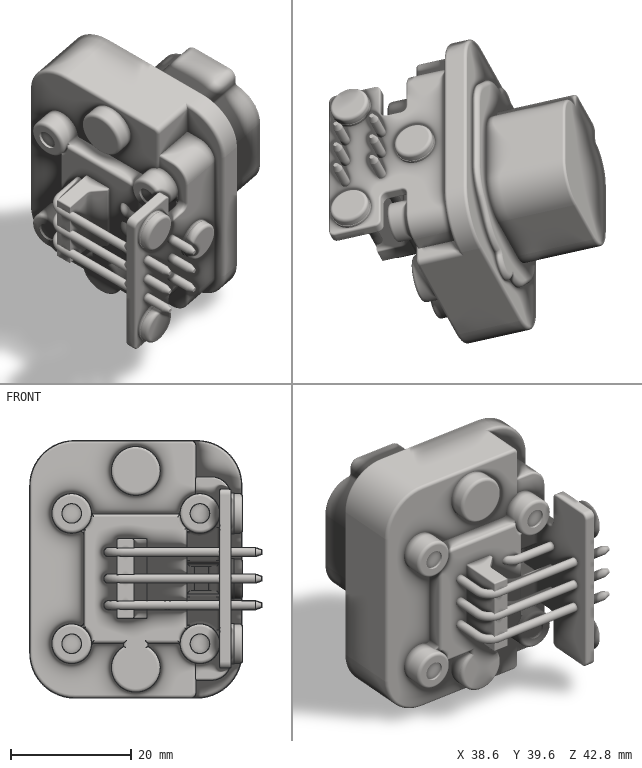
import cadquery as cq
import math

TOTAL_LENGTH = 38.55

FLANGE_WIDTH = 35.25
FLANGE_HEIGHT = 42.8
FLANGE_DEPTH = 11.6
FLANGE_CORNER = 7.55
EDGE_ROUND = 0.5

STEP_X = 9.97
STEP_DEPTH = 7.65
STEP_CORNER_ROUND = 0.85

ROW_Z = -1.55

BLOCK_RIGHT = 15.85
BLOCK_FRONT = 0.35
BLOCK_HALF_HEIGHT = 16.9
BLOCK_CORNER = 3.3
BLOCK_ROUND = 0.35
CHANNEL_HALF_HEIGHT = 2.53
CHANNEL_DEPTH = 3.42
CHANNEL_ROUND = 0.5
GROOVE_LEFT = 9.7
GROOVE_RIGHT = 12.05
GROOVE_ROUND = 0.43
GROOVE_DEPTH = 0.85

PLINTH_LEFT = -8.65
PLINTH_RIGHT = 8.47
PLINTH_TOP = 9.15
PLINTH_BOTTOM = -12.3
PLINTH_HEIGHT = 2.95
PAD_RADIUS = 4.05
PAD_Z = 16.35
NECK_HALF_WIDTH = 2.0
BOSS_RADIUS = 3.3
LEFT_BOSS_HEIGHT = 3.95
RIGHT_BOSS_HEIGHT = 3.72
BOSS_X = 10.65
BOSS_HALF_PITCH_Z = 10.83
BOSS_HOLE_RADIUS = 1.63
BOSS_HOLE_DEPTH = 0.43
BASE_FILLET = 0.45
WEB_FILLET = 0.5

PLATE_LEFT = 13.9
PLATE_FRONT = -13.25
PLATE_BACK = -4.2
PLATE_HALF_HEIGHT = 14.9
PLATE_CORNER = 1.03
PLATE_NECK_HALF_HEIGHT = 8.25
PLATE_ROUND = 0.3

FOOT_RADIUS = 3.3
FOOT_HEIGHT = 1.93
FOOT_COLLAR_RADIUS = 3.4
FOOT_COLLAR_HEIGHT = 0.45
FOOT_FRONT_Y = -9.1
FOOT_BACK_Y = 2.2

PIN_RADIUS = 0.75
PIN_PITCH = 4.4
PIN_BEND = 2.35
PIN_END_X = TOTAL_LENGTH - FLANGE_WIDTH / 2
PIN_TIP_LENGTH = 1.05
PIN_TIP_RADIUS = 0.4
LONG_PIN_X = -4.55
LONG_PIN_Y = -10.25
SHORT_PIN_X = 4.8
SHORT_PIN_Y = -3.9

BRACKET_LEFT = -3.12
BRACKET_RIGHT = -0.35
BRACKET_HALF_HEIGHT = 6.65
BRACKET_FRONT = -10.55
BRACKET_FOOT_RIGHT = 1.9
BRACKET_FOOT_FRONT = -3.45
BRACKET_BEND = 1.3
BRACKET_ROUND = 0.2

RIM_WIDTH = 28.85
RIM_HEIGHT = 34.75
RIM_BEVEL = 7.6
RIM_CORNER = 7.5
RIM_DEPTH = 1.03
RIM_ROUND = 0.85
LOBE_RADIUS = 3.42
LOBE_FILLET = 0.75

PLUG_WIDTH = 20.8
PLUG_BOTTOM = -12.05
PLUG_SHOULDER = 9.07
PLUG_CORNER = 5.65
PLUG_BACK = 26.4
PLUG_END_ROUND = 0.43
KEY_HALF_WIDTH = 5.15
KEY_TOP = 12.03
KEY_ROUND = 1.5
KEY_FILLET = 0.4


def front_plane(y):
    """Sketch plane facing -Y; local axes are X and Z."""
    return cq.Workplane("XZ", origin=(0, y, 0))


def rectangle(y, x_min, x_max, z_min, z_max, depth):
    """Box whose front face lies at y and which runs back along +Y."""
    centre = ((x_min + x_max) / 2, (z_min + z_max) / 2)
    return front_plane(y).center(*centre).rect(x_max - x_min, z_max - z_min).extrude(-depth)


def disc(x, z, radius, y_front, y_back):
    """Round prism along Y between two Y positions."""
    return front_plane(y_front).center(x, z).circle(radius).extrude(y_front - y_back)


def make_flange():
    """Rounded flange, thinned by the step at its +X end."""
    flange = front_plane(0).rect(FLANGE_WIDTH, FLANGE_HEIGHT).extrude(-FLANGE_DEPTH)
    flange = flange.edges("|Y").fillet(FLANGE_CORNER)
    step = rectangle(0, STEP_X, FLANGE_WIDTH, -FLANGE_HEIGHT, FLANGE_HEIGHT, STEP_DEPTH)
    flange = flange.cut(step)
    half = FLANGE_HEIGHT / 2
    for z in (-half, half):
        corner = cq.selectors.NearestToPointSelector((STEP_X, STEP_DEPTH / 2, z))
        flange = flange.edges("|Y").edges(corner).fillet(STEP_CORNER_ROUND)
    flange = flange.faces("<Y or >Y").edges().fillet(EDGE_ROUND)
    ledge_edge = cq.selectors.NearestToPointSelector((FLANGE_WIDTH / 2, STEP_DEPTH, 0))
    return flange.edges(ledge_edge).fillet(EDGE_ROUND)


def boss_places(side):
    """Lower and upper boss centres (X, Z) on the -X or +X side."""
    return [(side * BOSS_X, ROW_Z + sign * BOSS_HALF_PITCH_Z) for sign in (-1, 1)]


def make_plinth():
    """Plinth joined by a neck to the lower pad, plus the free upper pad."""
    plinth = rectangle(
        -PLINTH_HEIGHT, PLINTH_LEFT, PLINTH_RIGHT, PLINTH_BOTTOM, PLINTH_TOP,
        PLINTH_HEIGHT + BLOCK_FRONT,
    )
    neck = rectangle(
        -PLINTH_HEIGHT, -NECK_HALF_WIDTH, NECK_HALF_WIDTH, -PAD_Z, PLINTH_BOTTOM,
        PLINTH_HEIGHT + BLOCK_FRONT,
    )
    plinth = plinth.union(neck)
    for z in (-PAD_Z, PAD_Z):
        plinth = plinth.union(disc(0, z, PAD_RADIUS, -PLINTH_HEIGHT, BLOCK_FRONT))
    for x, z in boss_places(-1) + boss_places(1):
        plinth = plinth.cut(disc(x, z, BOSS_RADIUS, -PLINTH_HEIGHT, BLOCK_FRONT))
    return plinth.faces("<Y").edges().fillet(EDGE_ROUND)


def make_webs():
    """Upright hollow fillets between the plinth sides and the screw bosses."""
    front = EDGE_ROUND - PLINTH_HEIGHT
    webs = rectangle(
        front, PLINTH_LEFT, PLINTH_RIGHT, PLINTH_BOTTOM, PLINTH_TOP, BLOCK_FRONT - front
    )
    for side in (-1, 1):
        for x, z in boss_places(side):
            boss = disc(x, z, BOSS_RADIUS, front, BLOCK_FRONT)
            webs = webs.union(boss.rotate((x, 0, z), (x, 1, z), 90 * (1 - side)))
    inside = cq.selectors.BoxSelector(
        (-BOSS_X, -FLANGE_DEPTH, -FLANGE_HEIGHT), (BOSS_X, FLANGE_DEPTH, FLANGE_HEIGHT)
    )
    return webs.edges("|Y").edges(inside).fillet(WEB_FILLET)


def make_boss(x, z, front):
    """Screw boss with a shallow round recess."""
    boss = disc(x, z, BOSS_RADIUS, front, BLOCK_FRONT).faces("<Y").edges().fillet(EDGE_ROUND)
    return boss.cut(disc(x, z, BOSS_HOLE_RADIUS, front, front + BOSS_HOLE_DEPTH))


def make_block():
    """Block in the step, sunk slightly into the ledge behind it."""
    sink = EDGE_ROUND
    block = rectangle(
        BLOCK_FRONT, PLINTH_RIGHT, BLOCK_RIGHT, ROW_Z - BLOCK_HALF_HEIGHT,
        ROW_Z + BLOCK_HALF_HEIGHT, STEP_DEPTH - BLOCK_FRONT + sink,
    )
    block = block.edges("|Y and >X").fillet(BLOCK_CORNER)
    return block.faces("<Y").edges("not <X").fillet(BLOCK_ROUND)


def make_channel_cutter():
    """Channel across the block with rounded lips and floor, and a groove in its floor."""
    inner = CHANNEL_HALF_HEIGHT
    lip = inner + CHANNEL_ROUND
    floor = BLOCK_FRONT + CHANNEL_DEPTH
    floor_half = inner - CHANNEL_ROUND
    length = PLATE_LEFT - PLINTH_RIGHT
    profile = (
        cq.Workplane("YZ", origin=(PLINTH_RIGHT, 0, ROW_Z))
        .moveTo(BLOCK_FRONT, lip)
        .radiusArc((BLOCK_FRONT + CHANNEL_ROUND, inner), -CHANNEL_ROUND)
        .lineTo(floor - CHANNEL_ROUND, inner)
        .radiusArc((floor, floor_half), CHANNEL_ROUND)
        .lineTo(floor, -floor_half)
        .radiusArc((floor - CHANNEL_ROUND, -inner), CHANNEL_ROUND)
        .lineTo(BLOCK_FRONT + CHANNEL_ROUND, -inner)
        .radiusArc((BLOCK_FRONT, -lip), -CHANNEL_ROUND)
        .close()
        .extrude(length)
    )
    limits = rectangle(
        BLOCK_FRONT, PLINTH_RIGHT, PLATE_LEFT, ROW_Z - lip, ROW_Z + lip, CHANNEL_DEPTH
    )
    channel = profile.intersect(limits.edges("|Z and >Y").fillet(CHANNEL_ROUND))
    groove = (
        cq.Workplane("XY", origin=(0, 0, ROW_Z - floor_half))
        .moveTo(GROOVE_LEFT - GROOVE_ROUND, floor)
        .radiusArc((GROOVE_LEFT, floor + GROOVE_ROUND), -GROOVE_ROUND)
        .lineTo(GROOVE_LEFT, floor + GROOVE_DEPTH)
        .lineTo(GROOVE_RIGHT, floor + GROOVE_DEPTH)
        .lineTo(GROOVE_RIGHT, floor + GROOVE_ROUND)
        .radiusArc((GROOVE_RIGHT + GROOVE_ROUND, floor), -GROOVE_ROUND)
        .close()
        .extrude(2 * floor_half)
    )
    return channel.union(groove)


def base_fillet_profile(plane):
    """Triangle with a hollow arc, filling the corner at the local origin."""
    return (
        plane.moveTo(0, 0)
        .lineTo(BASE_FILLET, 0)
        .radiusArc((0, -BASE_FILLET), -BASE_FILLET)
        .close()
    )


def make_base_fillets():
    """Hollow fillets where the block face meets the plinth, the plate and the bosses."""
    lip = CHANNEL_HALF_HEIGHT + CHANNEL_ROUND
    reach = BOSS_HALF_PITCH_Z - BOSS_RADIUS * math.sqrt(0.5)
    plinth_plane = cq.Workplane("XY", origin=(PLINTH_RIGHT, BLOCK_FRONT, ROW_Z + lip))
    plinth_side = base_fillet_profile(plinth_plane).extrude(reach - lip)
    middle = (PLINTH_RIGHT + PLATE_LEFT) / 2
    plate_side = plinth_side.mirror("YZ", (middle, 0, 0))
    boss_ring = (
        base_fillet_profile(cq.Workplane("XY").center(BOSS_RADIUS, 0))
        .revolve(360, (-BOSS_RADIUS, 0), (-BOSS_RADIUS, 1))
        .translate((BOSS_X, BLOCK_FRONT, ROW_Z + BOSS_HALF_PITCH_Z))
    )
    between = rectangle(
        -BASE_FILLET, PLINTH_RIGHT, PLATE_LEFT, ROW_Z, ROW_Z + BOSS_HALF_PITCH_Z, 2 * BASE_FILLET
    )
    upper = plinth_side.union(plate_side).union(boss_ring.intersect(between))
    return upper.union(upper.mirror("XY", (0, 0, ROW_Z)))


def make_plate():
    """Upright plate with a narrower neck running back into the block."""
    plate = (
        cq.Workplane("YZ", origin=(PLATE_LEFT, 0, 0))
        .center((PLATE_FRONT + PLATE_BACK) / 2, ROW_Z)
        .rect(PLATE_BACK - PLATE_FRONT, 2 * PLATE_HALF_HEIGHT)
        .extrude(BLOCK_RIGHT - PLATE_LEFT)
        .edges("|X")
        .fillet(PLATE_CORNER)
    )
    inner = PLATE_NECK_HALF_HEIGHT
    outer = inner + PLATE_CORNER
    flare_front = BLOCK_FRONT - PLATE_CORNER
    root = BLOCK_FRONT + BLOCK_ROUND
    neck = (
        cq.Workplane("YZ", origin=(PLATE_LEFT, 0, ROW_Z))
        .moveTo(PLATE_BACK, outer)
        .radiusArc((PLATE_BACK + PLATE_CORNER, inner), -PLATE_CORNER)
        .lineTo(flare_front, inner)
        .radiusArc((BLOCK_FRONT, outer), -PLATE_CORNER)
        .lineTo(root, outer)
        .lineTo(root, -outer)
        .lineTo(BLOCK_FRONT, -outer)
        .radiusArc((flare_front, -inner), -PLATE_CORNER)
        .lineTo(PLATE_BACK + PLATE_CORNER, -inner)
        .radiusArc((PLATE_BACK, -outer), -PLATE_CORNER)
        .close()
    )
    plate = plate.union(neck.extrude(BLOCK_RIGHT - PLATE_LEFT))
    outside_block = cq.selectors.BoxSelector(
        (0, -FLANGE_HEIGHT, -FLANGE_HEIGHT), (FLANGE_WIDTH, BLOCK_FRONT, FLANGE_HEIGHT)
    )
    return plate.faces("<X or >X").edges(outside_block).fillet(PLATE_ROUND)


def make_foot(y, z):
    """Round foot with a slightly wider collar at its base."""

    def cylinder(radius, height):
        base = BLOCK_RIGHT - BLOCK_ROUND
        return (
            cq.Workplane("YZ", origin=(base, y, z)).circle(radius).extrude(height + BLOCK_ROUND)
        )

    foot = cylinder(FOOT_RADIUS, FOOT_HEIGHT).faces(">X").edges().fillet(EDGE_ROUND)
    return foot.union(cylinder(FOOT_COLLAR_RADIUS, FOOT_COLLAR_HEIGHT))


def make_pin(x, y, z):
    """Pin leaving the plinth along -Y, bent to +X, with a tapered tip."""
    shank_end = PIN_END_X - PIN_TIP_LENGTH
    path = (
        cq.Workplane("XY", origin=(0, 0, z))
        .moveTo(x, 0)
        .lineTo(x, y + PIN_BEND)
        .radiusArc((x + PIN_BEND, y), -PIN_BEND)
        .lineTo(shank_end, y)
    )
    shank = front_plane(0).center(x, z).circle(PIN_RADIUS).sweep(path)
    tip = (
        cq.Workplane("YZ", origin=(shank_end, y, z))
        .circle(PIN_RADIUS)
        .workplane(offset=PIN_TIP_LENGTH)
        .circle(PIN_TIP_RADIUS)
        .loft()
    )
    return shank.union(tip)


def make_bracket():
    """Upright bar with a sloped foot, standing on the plinth beside the long pins."""
    root = -PLINTH_HEIGHT
    slope_end = BRACKET_FOOT_FRONT - (BRACKET_FOOT_RIGHT - BRACKET_RIGHT)
    bracket = (
        cq.Workplane("XY", origin=(0, 0, ROW_Z - BRACKET_HALF_HEIGHT))
        .moveTo(BRACKET_LEFT, root)
        .lineTo(BRACKET_LEFT, BRACKET_FRONT)
        .lineTo(BRACKET_RIGHT, BRACKET_FRONT)
        .lineTo(BRACKET_RIGHT, slope_end)
        .lineTo(BRACKET_FOOT_RIGHT, BRACKET_FOOT_FRONT)
        .lineTo(BRACKET_FOOT_RIGHT, root)
        .close()
        .extrude(2 * BRACKET_HALF_HEIGHT)
    )
    inside_bend = cq.selectors.NearestToPointSelector((BRACKET_RIGHT, slope_end, ROW_Z))
    bracket = bracket.edges("|Z").edges(inside_bend).fillet(BRACKET_BEND)
    return bracket.faces("<Z or >Z").edges("not >Y").fillet(BRACKET_ROUND)


def make_rim():
    """Bevelled and rounded rim with a round lobe at the top and bottom."""
    rim = front_plane(FLANGE_DEPTH).rect(RIM_WIDTH, RIM_HEIGHT).extrude(-RIM_DEPTH)
    rim = rim.edges("|Y").chamfer(RIM_BEVEL).edges("|Y").fillet(RIM_CORNER)
    for z in (-PAD_Z, PAD_Z):
        rim = rim.union(disc(0, z, LOBE_RADIUS, FLANGE_DEPTH, FLANGE_DEPTH + RIM_DEPTH))
    reach = LOBE_RADIUS + LOBE_FILLET
    joints = cq.selectors.BoxSelector((-reach, 0, -RIM_HEIGHT), (reach, PLUG_BACK, RIM_HEIGHT))
    rim = rim.edges("|Y").edges(joints).fillet(LOBE_FILLET)
    return rim.faces(">Y").edges().fillet(RIM_ROUND)


def make_plug():
    """Rounded plug body with a key along its top."""
    start = FLANGE_DEPTH
    depth = PLUG_BACK - start
    half = PLUG_WIDTH / 2
    body = rectangle(start, -half, half, PLUG_BOTTOM, PLUG_SHOULDER, depth)
    body = body.edges("|Y").fillet(PLUG_CORNER)
    key = rectangle(start, -KEY_HALF_WIDTH, KEY_HALF_WIDTH, 0, KEY_TOP, depth)
    key = key.edges("|Y and >Z").fillet(KEY_ROUND)
    plug = body.union(key)
    for x in (-KEY_HALF_WIDTH, KEY_HALF_WIDTH):
        joint = cq.selectors.NearestToPointSelector((x, start + depth / 2, PLUG_SHOULDER))
        plug = plug.edges("|Y").edges(joint).fillet(KEY_FILLET)
    return plug.faces(">Y").edges().fillet(PLUG_END_ROUND)


boss_z = [z for _, z in boss_places(1)]
shelf = rectangle(0, PLINTH_RIGHT, STEP_X, boss_z[0], boss_z[1], BLOCK_FRONT)
body = make_flange().cut(shelf).union(make_block()).cut(make_channel_cutter())
body = body.union(make_plinth()).union(make_webs()).union(make_plate())

for x, z in boss_places(-1):
    body = body.union(make_boss(x, z, -LEFT_BOSS_HEIGHT))
for x, z in boss_places(1):
    body = body.union(make_boss(x, z, -RIGHT_BOSS_HEIGHT))

body = body.union(make_base_fillets())

for place in [(FOOT_FRONT_Y, z) for z in boss_z] + [(FOOT_BACK_Y, ROW_Z)]:
    body = body.union(make_foot(*place))

for row in (-1, 0, 1):
    pin_z = ROW_Z + row * PIN_PITCH
    body = body.union(make_pin(LONG_PIN_X, LONG_PIN_Y, pin_z))
    body = body.union(make_pin(SHORT_PIN_X, SHORT_PIN_Y, pin_z))

result = body.union(make_bracket()).union(make_rim()).union(make_plug())